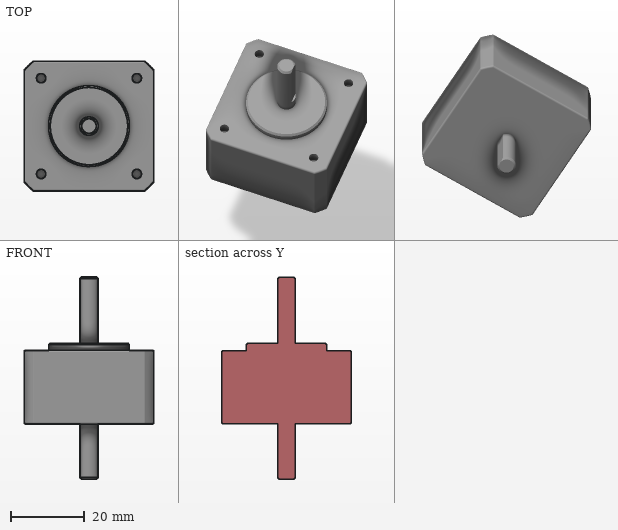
import cadquery as cq

total_height = 55.0
body_width = 35.3

body_height = 20.0
corner_circle_diameter = 46.5
body_edge_radius = 0.5

boss_diameter = 22.0
boss_height = 2.0
boss_chamfer = 0.5

shaft_diameter = 5.0
lower_shaft_length = 15.0
shaft_chamfer = 0.52
flat_depth = 0.5
round_length_above_boss = 3.0

hole_spacing = 26.0
hole_diameter = 2.55
hole_depth = 3.0

body_top = body_height
boss_top = body_top + boss_height
shaft_bottom = -lower_shaft_length
shaft_top = total_height - lower_shaft_length
flat_offset = shaft_diameter / 2 - flat_depth


def make_body():
    """Square block with its corners trimmed by a large circle and every edge rounded."""
    block = cq.Workplane("XY").rect(body_width, body_width).extrude(body_height)
    corner_limit = cq.Workplane("XY").circle(corner_circle_diameter / 2).extrude(body_height)
    return block.intersect(corner_limit).edges().fillet(body_edge_radius)


def make_boss():
    """Round pilot boss with a bevelled top edge."""
    boss = cq.Workplane("XY").workplane(offset=body_top).circle(boss_diameter / 2).extrude(boss_height)
    return boss.faces(">Z").edges().chamfer(boss_chamfer)


def flat_cutter(bottom, top):
    """Block that removes the +Y side of the shaft between two heights."""
    return (
        cq.Workplane("XY")
        .workplane(offset=bottom)
        .center(0, flat_offset + flat_depth)
        .rect(shaft_diameter, 2 * flat_depth)
        .extrude(top - bottom)
    )


def make_shaft():
    """Through shaft, flattened on both ends but left round just above the boss."""
    shaft = cq.Workplane("XY").workplane(offset=shaft_bottom).circle(shaft_diameter / 2).extrude(total_height)
    shaft = shaft.faces("<Z or >Z").edges().chamfer(shaft_chamfer)
    shaft = shaft.cut(flat_cutter(boss_top + round_length_above_boss, shaft_top))
    return shaft.cut(flat_cutter(shaft_bottom, 0))


def make_mounting_holes():
    """Four blind-hole cutters in a square pattern, sunk from the top face."""
    return (
        cq.Workplane("XY")
        .workplane(offset=body_top)
        .rect(hole_spacing, hole_spacing, forConstruction=True)
        .vertices()
        .circle(hole_diameter / 2)
        .extrude(-hole_depth)
    )


result = make_body().union(make_boss()).union(make_shaft()).cut(make_mounting_holes())